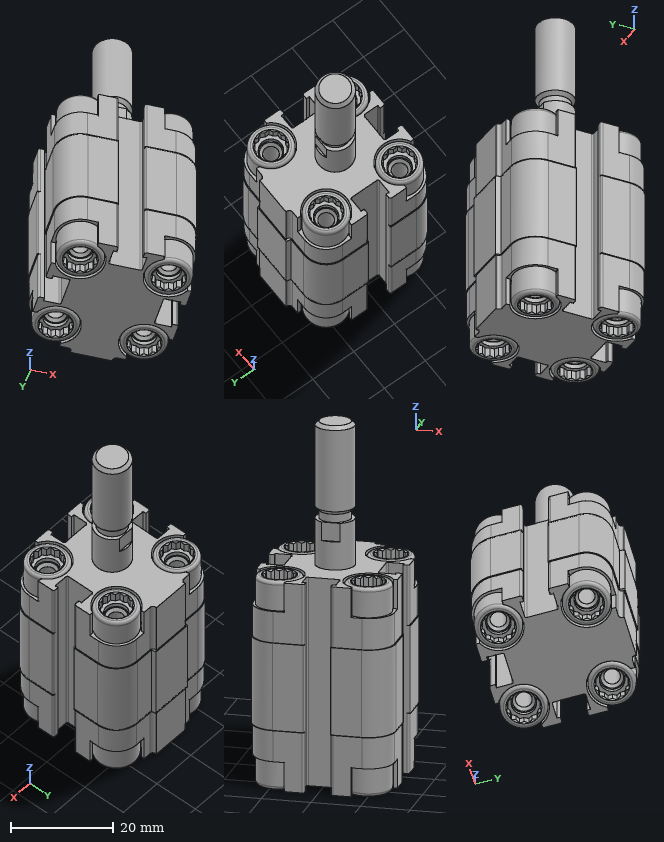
import cadquery as cq
import math

HOUSING_HEIGHT = 43.0
TOTAL_HEIGHT = 72.5
CAP_HEIGHT = 12.5
BARREL_HEIGHT = HOUSING_HEIGHT - 2 * CAP_HEIGHT

BARREL_HALF_WIDTH = 14.5
CAP_INSET = 0.2
BOLT_OFFSET = 9.0

BARREL_PAD_TOP = 4.65
BARREL_PAD_ROOT = 4.85
CAP_PAD_HALF_WIDTH = 4.3
CAP_PAD_FILLET = 0.7
PAD_RISE = 1.0

SLOT_MOUTH_HALF_WIDTH = 2.7
BARREL_MOUTH_FILLET = 0.2
CAP_MOUTH_FILLET = 0.4
SLOT_HALF_WIDTH = 3.4
SLOT_FLOOR = 9.5
SLOT_LIP_INNER = 13.0
SLOT_FILLET = 0.35
SLOT_ANGLES = (-90, 0, 90)

BOSS_DIAMETER = 9.5
BOSS_FILLET = 0.7
POCKET_DIAMETER = 10.0
POCKET_DEPTH = 6.0
POCKET_MOUTH = 2.25
BOLT_HOLE_DIAMETER = 3.25

SOCKET_ACROSS_FLATS = 6.1
SOCKET_DEPTH = 2.2
SOCKET_RIM_CHAMFER = 0.35
COUNTERBORE_DIAMETER = 5.0
COUNTERBORE_DEPTH = 3.1
HOLE_CHAMFER_DIAMETER = 4.5

ROD_DIAMETER = 8.0
NECK_DIAMETER = 6.45
SHANK_TOP = 52.55
NECK_LENGTH = 1.7
FLAT_LENGTH = 3.8
FLAT_SPACING = 7.0

BOLT_CENTRES = [(sx * BOLT_OFFSET, sy * BOLT_OFFSET) for sx in (-1, 1) for sy in (-1, 1)]


def box(x_range, y_range, z_range):
    """Axis-aligned block between the given limits."""
    (x0, x1), (y0, y1), (z0, z1) = x_range, y_range, z_range
    return cq.Workplane("XY").box(x1 - x0, y1 - y0, z1 - z0, centered=False).translate((x0, y0, z0))


def cut_mouths(block, half, fillet):
    """Cut the mouths of the three slots and round their outer edges."""
    height_span = (-0.7, HOUSING_HEIGHT + 0.7)
    mouth_span = (-SLOT_MOUTH_HALF_WIDTH, SLOT_MOUTH_HALF_WIDTH)
    mouth = box(mouth_span, (-half, -SLOT_FLOOR), height_span)
    rounded_span = (-SLOT_MOUTH_HALF_WIDTH - fillet, SLOT_MOUTH_HALF_WIDTH + fillet)
    rounding = box(rounded_span, (-half, fillet - half), height_span)
    for side in (-1, 1):
        post = (
            cq.Workplane("XY", origin=(side * rounded_span[1], fillet - half, height_span[0]))
            .circle(fillet)
            .extrude(height_span[1] - height_span[0])
        )
        rounding = rounding.cut(post)
    mouth = mouth.union(rounding)
    for angle in SLOT_ANGLES:
        block = block.cut(mouth.rotate((0, 0, 0), (0, 0, 1), angle))
    return block


def make_block(half, bottom, height):
    """Square length of housing, its corners rounded about the bolt axes."""
    return (
        cq.Workplane("XY", origin=(0, 0, bottom))
        .rect(2 * half, 2 * half)
        .extrude(height)
        .edges("|Z")
        .fillet(half - BOLT_OFFSET)
    )


def make_barrel():
    """Middle length of housing; its +Y pad has slightly sloping sides."""
    half = BARREL_HALF_WIDTH
    pad = (
        cq.Workplane("XY", origin=(0, 0, CAP_HEIGHT))
        .polyline([
            (-BARREL_PAD_ROOT, 0),
            (BARREL_PAD_ROOT, 0),
            (BARREL_PAD_ROOT, half),
            (BARREL_PAD_TOP, half + PAD_RISE),
            (-BARREL_PAD_TOP, half + PAD_RISE),
            (-BARREL_PAD_ROOT, half),
        ])
        .close()
        .extrude(BARREL_HEIGHT)
    )
    barrel = make_block(half, CAP_HEIGHT, BARREL_HEIGHT).union(pad)
    return cut_mouths(barrel, half, BARREL_MOUTH_FILLET)


def make_cap(bottom):
    """End cap; its +Y pad runs into the face through root fillets."""
    half = BARREL_HALF_WIDTH - CAP_INSET
    pad = (
        cq.Workplane("XY", origin=(0, 0, bottom))
        .moveTo(-CAP_PAD_HALF_WIDTH, half + PAD_RISE)
        .lineTo(CAP_PAD_HALF_WIDTH, half + PAD_RISE)
        .lineTo(CAP_PAD_HALF_WIDTH, half + CAP_PAD_FILLET)
        .radiusArc((CAP_PAD_HALF_WIDTH + CAP_PAD_FILLET, half), -CAP_PAD_FILLET)
        .lineTo(CAP_PAD_HALF_WIDTH, 0)
        .lineTo(-CAP_PAD_HALF_WIDTH, 0)
        .lineTo(-CAP_PAD_HALF_WIDTH - CAP_PAD_FILLET, half)
        .radiusArc((-CAP_PAD_HALF_WIDTH, half + CAP_PAD_FILLET), -CAP_PAD_FILLET)
        .close()
        .extrude(CAP_HEIGHT)
    )
    cap = make_block(half, bottom, CAP_HEIGHT).union(pad)
    return cut_mouths(cap, half, CAP_MOUTH_FILLET)


def cut_slots(housing):
    """Widen the three slots behind their lips, over the full height."""
    slot = box(
        (-SLOT_HALF_WIDTH, SLOT_HALF_WIDTH),
        (-SLOT_LIP_INNER, -SLOT_FLOOR),
        (0, HOUSING_HEIGHT),
    )
    slot = slot.edges("|Z and >Y").fillet(SLOT_FILLET)
    for angle in SLOT_ANGLES:
        housing = housing.cut(slot.rotate((0, 0, 0), (0, 0, 1), angle))
    return housing


def make_corner_pocket():
    """Pocket at the +X +Y corner of the top face, open to both side faces."""
    bottom = HOUSING_HEIGHT - POCKET_DEPTH
    round_part = (
        cq.Workplane("XY", origin=(BOLT_OFFSET, BOLT_OFFSET, bottom))
        .circle(POCKET_DIAMETER / 2)
        .extrude(POCKET_DEPTH)
    )
    mouth_span = (BOLT_OFFSET - POCKET_MOUTH, BARREL_HALF_WIDTH)
    mouth = box(mouth_span, mouth_span, (bottom, HOUSING_HEIGHT))
    return round_part.union(mouth)


def make_cone(depth, top_diameter, bottom_diameter):
    """45-degree countersink about the boss axis, its wide end `depth` below the top face."""
    return (
        cq.Workplane("XY", origin=(BOLT_OFFSET, BOLT_OFFSET, HOUSING_HEIGHT - depth))
        .circle(top_diameter / 2)
        .workplane(offset=(bottom_diameter - top_diameter) / 2)
        .circle(bottom_diameter / 2)
        .loft(ruled=True)
    )


def make_socket():
    """Twelve-point socket, made of two hexagons, above a counterbore and a countersink."""
    across_corners = SOCKET_ACROSS_FLATS / math.cos(math.pi / 6)
    socket_axis = cq.Workplane("XY", origin=(BOLT_OFFSET, BOLT_OFFSET, HOUSING_HEIGHT))
    cutter = socket_axis.circle(COUNTERBORE_DIAMETER / 2).extrude(-COUNTERBORE_DEPTH)
    cutter = cutter.union(make_cone(COUNTERBORE_DEPTH, HOLE_CHAMFER_DIAMETER, BOLT_HOLE_DIAMETER))
    cutter = cutter.union(make_cone(0, across_corners, across_corners - 2 * SOCKET_RIM_CHAMFER))
    for angle in (0, 30):
        hexagon = (
            socket_axis.transformed(rotate=(0, 0, angle))
            .polygon(6, across_corners)
            .extrude(-SOCKET_DEPTH)
        )
        cutter = cutter.union(hexagon)
    return cutter


def make_boss():
    """Corner boss with a rounded rim."""
    return (
        cq.Workplane("XY", origin=(BOLT_OFFSET, BOLT_OFFSET, HOUSING_HEIGHT - POCKET_DEPTH))
        .circle(BOSS_DIAMETER / 2)
        .extrude(POCKET_DEPTH)
        .faces(">Z")
        .edges()
        .fillet(BOSS_FILLET)
    )


def at_all_ends(top_corner):
    """Copies of a +X +Y top-corner shape at the four corners of both ends."""
    bottom_corner = top_corner.mirror("XY", (0, 0, HOUSING_HEIGHT / 2))
    return [
        shape.rotate((0, 0, 0), (0, 0, 1), angle)
        for shape in (top_corner, bottom_corner)
        for angle in (0, 90, 180, 270)
    ]


def make_housing():
    """Barrel with an end cap at each end, bosses and slots."""
    housing = make_barrel()
    for bottom in (0, HOUSING_HEIGHT - CAP_HEIGHT):
        housing = housing.union(make_cap(bottom))
    housing = cut_slots(housing)
    for pocket in at_all_ends(make_corner_pocket()):
        housing = housing.cut(pocket)
    for boss in at_all_ends(make_boss()):
        housing = housing.union(boss)
    for socket in at_all_ends(make_socket()):
        housing = housing.cut(socket)
    bolt_holes = (
        cq.Workplane("XY").pushPoints(BOLT_CENTRES).circle(BOLT_HOLE_DIAMETER / 2).extrude(HOUSING_HEIGHT)
    )
    return housing.cut(bolt_holes)


def make_rod():
    """Piston rod: shank with wrench flats, a neck, and a chamfered thread end."""
    rod_radius = ROD_DIAMETER / 2
    neck_radius = NECK_DIAMETER / 2
    chamfer = rod_radius - neck_radius
    thread_bottom = SHANK_TOP + NECK_LENGTH
    profile = [
        (0, HOUSING_HEIGHT),
        (rod_radius, HOUSING_HEIGHT),
        (rod_radius, SHANK_TOP),
        (neck_radius, SHANK_TOP),
        (neck_radius, thread_bottom),
        (rod_radius, thread_bottom + chamfer),
        (rod_radius, TOTAL_HEIGHT - chamfer),
        (neck_radius, TOTAL_HEIGHT),
        (0, TOTAL_HEIGHT),
    ]
    rod = cq.Workplane("XZ").polyline(profile).close().revolve(360, (0, 0, 0), (0, 1, 0))
    for side in (-1, 1):
        near, far = sorted((side * FLAT_SPACING / 2, side * ROD_DIAMETER))
        flat = box((-rod_radius, rod_radius), (near, far), (SHANK_TOP - FLAT_LENGTH, SHANK_TOP))
        rod = rod.cut(flat)
    return rod


housing = make_housing()
rod = make_rod()

result = cq.Compound.makeCompound([housing.val(), rod.val()])